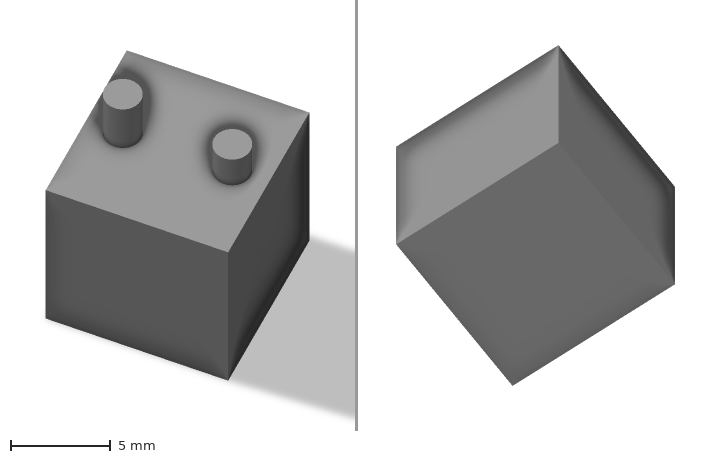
import cadquery as cq

cube_side = 10.0
pin_diameter = 2.0
pin_spacing = 6.0
tall_pin_height = 3.0
short_pin_height = 2.0


def make_body():
    """Cube centred in X and Y, standing on Z = 0."""
    return cq.Workplane("XY").box(cube_side, cube_side, cube_side, centered=(True, True, False))


def make_pin(x_position, height):
    """Round pin rising from the top face of the cube, on its X centreline."""
    return (
        cq.Workplane("XY", origin=(x_position, 0, cube_side))
        .circle(pin_diameter / 2)
        .extrude(height)
    )


tall_pin = make_pin(-pin_spacing / 2, tall_pin_height)
short_pin = make_pin(pin_spacing / 2, short_pin_height)

result = make_body().union(tall_pin).union(short_pin)